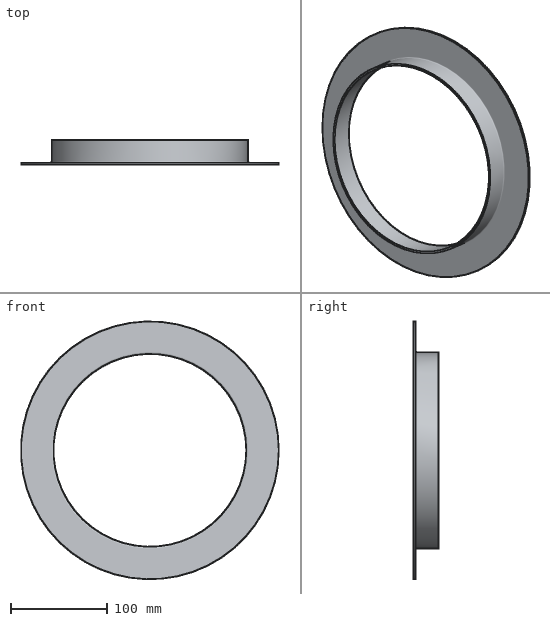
import cadquery as cq

flange_diameter = 268.0
bore_diameter = 200.0
wall_thickness = 2.1
flange_thickness = 2.5
total_depth = 26.0
root_fillet = 1.0
mouth_fillet = 2.1

collar_diameter = bore_diameter + 2 * wall_thickness


def disc(diameter, depth):
    """Solid disc about the Y axis, from the front face at Y = 0 toward +Y."""
    return cq.Workplane("XZ").circle(diameter / 2).extrude(-depth)


flange = disc(flange_diameter, flange_thickness)
collar = disc(collar_diameter, total_depth)
bore = disc(bore_diameter, total_depth)
ring = flange.union(collar).cut(bore)

inner_edge = cq.selectors.RadiusNthSelector(0)

ring = ring.faces("<Y").edges(inner_edge).fillet(mouth_fillet)

flange_back = cq.selectors.BoxSelector(
    (-flange_diameter, flange_thickness / 2, -flange_diameter),
    (flange_diameter, flange_thickness + root_fillet, flange_diameter),
    boundingbox=True,
)
result = ring.faces(flange_back).edges(inner_edge).fillet(root_fillet)